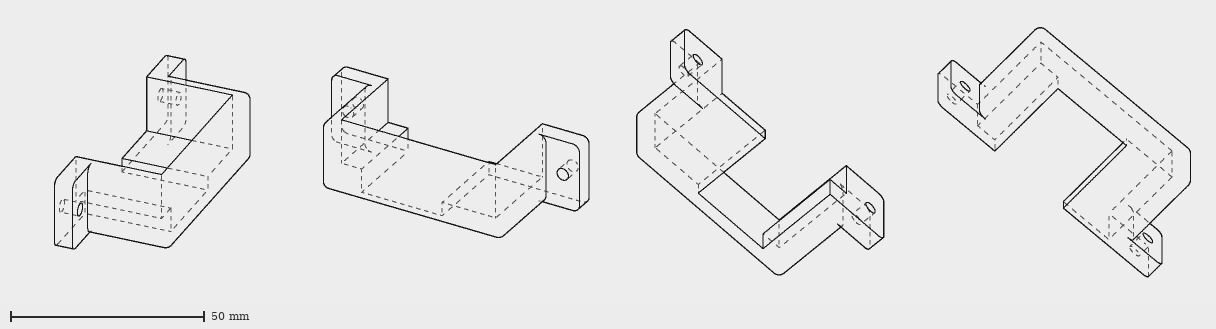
import cadquery as cq

depth = 28.2
length = 74.0
height = 20.0
wall = 4.0
edge_radius = 2.0
flange_thickness = 5.1
flange_reach = 10.0
hole_diameter = 3.4
hole_end_distance = 4.95
wide_ledge_width = 16.0
wide_ledge_height = 4.0
narrow_ledge_width = 6.0
narrow_ledge_height = 6.95

body_length = length - 2 * flange_reach
cavity_length = body_length - 2 * wall
cavity_depth = depth - wall
hole_offset = length / 2 - hole_end_distance


def block(size_x, size_y, size_z, center_y=0):
    """Box standing on Z = 0, with its rear face at X = 0."""
    box = cq.Workplane("XY").box(size_x, size_y, size_z, centered=(False, True, False))
    return box.translate((0, center_y, 0))


def ledge(width, ledge_height, side):
    """Floor ledge reaching inward from the side wall at +Y (1) or -Y (-1)."""
    center_y = side * (cavity_length - width) / 2
    return block(cavity_depth, width, ledge_height, center_y)


body = block(depth, body_length, height).edges("|X or >X").fillet(edge_radius)
flange = block(flange_thickness, length, height).edges("|X").fillet(edge_radius)
bracket = body.union(flange)

bracket = bracket.cut(block(cavity_depth, cavity_length, height))

bracket = bracket.union(ledge(wide_ledge_width, wide_ledge_height, 1))
bracket = bracket.union(ledge(narrow_ledge_width, narrow_ledge_height, -1))

holes = (
    cq.Workplane("YZ")
    .pushPoints([(-hole_offset, height / 2), (hole_offset, height / 2)])
    .circle(hole_diameter / 2)
    .extrude(flange_thickness)
)
result = bracket.cut(holes)